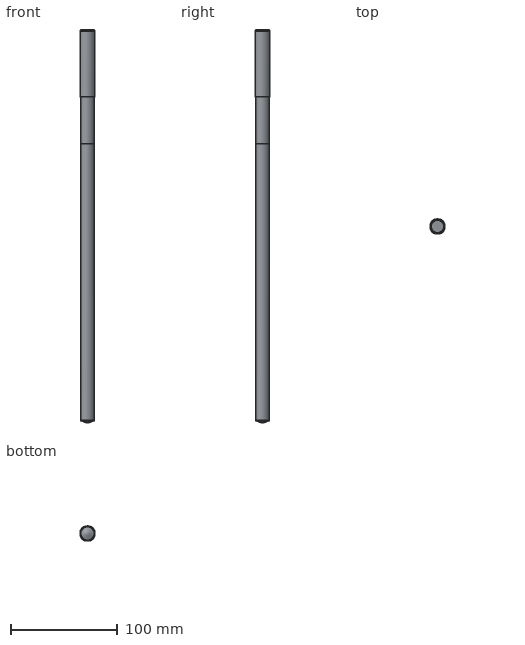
import cadquery as cq
import math

shank_diameter = 14.0
shank_length = 62.5
shank_chamfer = 1.0
cutting_diameter = 12.9
point_angle = 140.0
overall_length = 367.35
holder_length = 106.5

shank_radius = shank_diameter / 2
cutting_radius = cutting_diameter / 2
point_height = cutting_radius / math.tan(math.radians(point_angle / 2))
cutting_top = overall_length - holder_length
shank_bottom = overall_length - shank_length


def revolve_profile(points):
    """Turn a closed half section, given as (radius, height) points, around Z."""
    section = cq.Workplane("YZ").polyline([(-radius, height) for radius, height in points]).close()
    return section.revolve(360, (0, 0), (0, 1))


def make_holder():
    """Cylindrical shank, chamfered on top, with the slimmer neck below it."""
    return revolve_profile([
        (0, cutting_top),
        (cutting_radius, cutting_top),
        (cutting_radius, shank_bottom),
        (shank_radius, shank_bottom),
        (shank_radius, overall_length - shank_chamfer),
        (shank_radius - shank_chamfer, overall_length),
        (0, overall_length),
    ])


def make_cutting_part():
    """Long cutting cylinder ending in a conical drill point."""
    return revolve_profile([
        (0, 0),
        (cutting_radius, point_height),
        (cutting_radius, cutting_top),
        (0, cutting_top),
    ])


holder = make_holder()
cutting_part = make_cutting_part()

result = cq.Compound.makeCompound([holder.val(), cutting_part.val()])